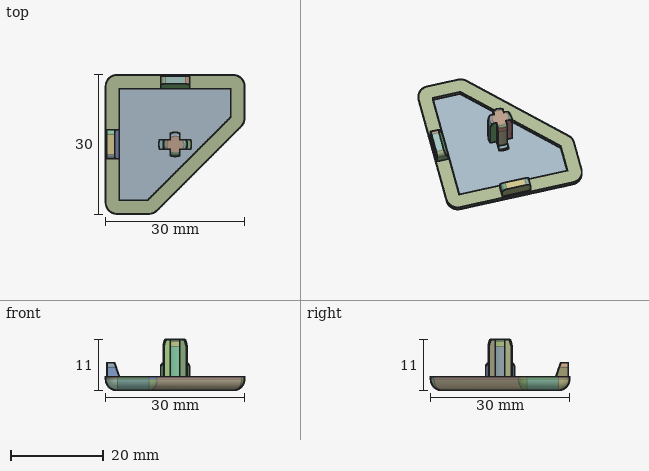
import cadquery as cq

side = 30.0
half = side / 2
plate_height = 3.0
corner_cut = 19.65
corner_radius = 2.52
bottom_fillet = 2.5

rim_width = 3.0
pocket_depth = 1.0
floor_z = plate_height - pocket_depth

tab_length = 6.27
tab_height = 3.0
tab_edge_gap = 0.3
tab_base = rim_width - tab_edge_gap
tab_top = 1.65
tab_fillet = 1.0

stem_top_z = 11.0
stem_radius = 2.6
stem_tip_radius = 2.25
stem_tip_height = 1.5
stem_tip_fillet = 0.5
arm_width = 2.1
foot_radius = 3.5
foot_height = 0.75


def plate_outline():
    """Sharp-cornered outline of the plate, missing its +X, -Y corner."""
    cut_end = half - corner_cut
    return cq.Workplane("XY").polyline(
        [(-half, -half), (cut_end, -half), (half, -cut_end), (half, half), (-half, half)]
    ).close()


def make_plate():
    plate = plate_outline().extrude(plate_height)
    plate = plate.edges("|Z").fillet(corner_radius)
    plate = plate.faces("<Z").edges().fillet(bottom_fillet)
    pocket = plate_outline().offset2D(-rim_width, "intersection").extrude(pocket_depth)
    return plate.cut(pocket.translate((0, 0, floor_z)))


def make_tab():
    """Tab on the -X rim, with a sloping inner face and rounded upper ends."""
    outer = -half + tab_edge_gap
    top_z = plate_height + tab_height
    section = [
        (outer, plate_height),
        (outer + tab_base, plate_height),
        (outer + tab_top, top_z),
        (outer, top_z),
    ]
    wedge = cq.Workplane("XZ").polyline(section).close().extrude(tab_length / 2, both=True)
    rounded_block = (
        cq.Workplane("XY", origin=(outer, 0, plate_height))
        .box(tab_base, tab_length, tab_height, centered=(False, True, False))
        .edges("|X and >Z")
        .fillet(tab_fillet)
    )
    return wedge.intersect(rounded_block)


def make_stem():
    """Round post with a tapered, rounded tip, cut to a cross, plus two low feet along X."""
    stem_height = stem_top_z - floor_z
    shoulder_z = stem_top_z - stem_tip_height
    post = (
        cq.Workplane("XZ")
        .polyline(
            [
                (0, floor_z),
                (stem_radius, floor_z),
                (stem_radius, shoulder_z),
                (stem_tip_radius, stem_top_z),
                (0, stem_top_z),
            ]
        )
        .close()
        .revolve(360, (0, 0, 0), (0, 1, 0))
        .faces(">Z")
        .edges()
        .fillet(stem_tip_fillet)
    )
    base = cq.Workplane("XY", origin=(0, 0, floor_z))
    arm_span = 2 * foot_radius
    bar_x = base.rect(arm_span, arm_width).extrude(stem_height)
    bar_y = base.rect(arm_width, arm_span).extrude(stem_height)
    feet = base.circle(foot_radius).extrude(foot_height).intersect(bar_x)
    return post.intersect(bar_x.union(bar_y)).union(feet)


tab = make_tab()
second_tab = tab.rotate((0, 0, 0), (0, 0, 1), -90)
result = make_plate().union(tab).union(second_tab).union(make_stem())